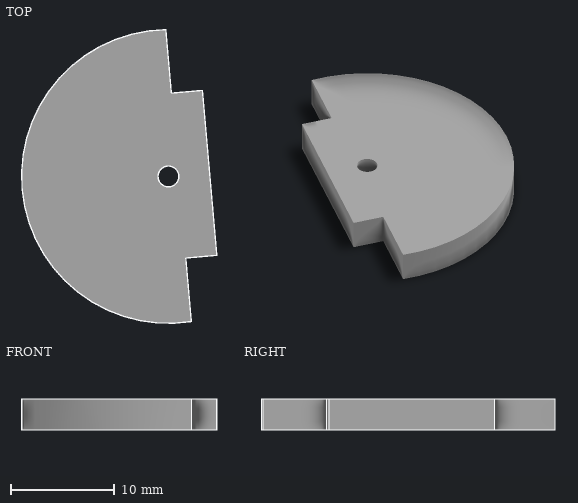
import cadquery as cq
import math

disc_radius = 14.2
thickness = 3.0
edge_offset = 1.0
tab_offset = 4.0
tab_half_width = 8.0
hole_diameter = 2.0
tilt_angle = 5.0

chord_half = math.sqrt(disc_radius**2 - edge_offset**2)

plate = (
    cq.Workplane("XY")
    .moveTo(edge_offset, chord_half)
    .threePointArc((-disc_radius, 0), (edge_offset, -chord_half))
    .lineTo(edge_offset, -tab_half_width)
    .lineTo(tab_offset, -tab_half_width)
    .lineTo(tab_offset, tab_half_width)
    .lineTo(edge_offset, tab_half_width)
    .close()
    .extrude(thickness)
)

hole = cq.Workplane("XY").circle(hole_diameter / 2).extrude(thickness)

result = plate.cut(hole).rotate((0, 0, 0), (0, 0, 1), tilt_angle)